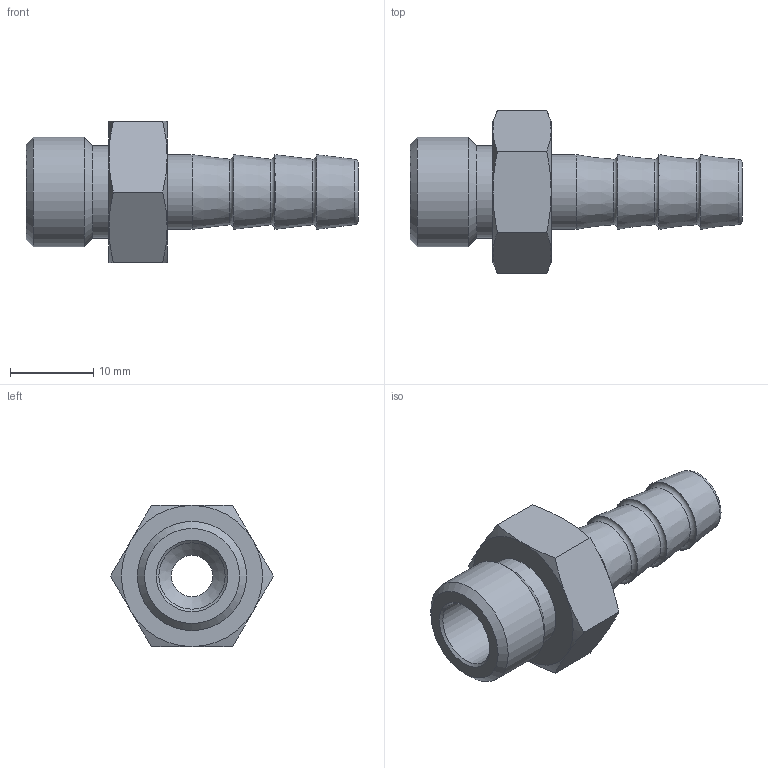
import cadquery as cq
import math

TOTAL_LENGTH = 40.0

THREAD_RADIUS = 13.157 / 2
THREAD_CHAMFER = 0.86
THREAD_END = 7.0
UNDERCUT_RADIUS = 5.55
UNDERCUT_START = THREAD_END + (THREAD_RADIUS - UNDERCUT_RADIUS)

HEX_START = 10.0
HEX_LENGTH = 7.0
HEX_END = HEX_START + HEX_LENGTH
HEX_ACROSS_FLATS = 17.0
HEX_ACROSS_CORNERS = HEX_ACROSS_FLATS / math.cos(math.radians(30))
HEX_CHAMFER_ANGLE = 22.0

TAIL_RADIUS = 4.5
BARB_COUNT = 4
BARB_PITCH = 5.0
BARB_START = TOTAL_LENGTH - BARB_COUNT * BARB_PITCH
BARB_TAPER_ANGLE = 7.0
ROOT_ROUND = 0.5
TIP_ROUND = 0.4

BORE_RADIUS = 2.5
COUNTERBORE_RADIUS = 4.0
COUNTERBORE_DEPTH = 10.0
COUNTERBORE_CHAMFER = 0.3
BORE_CONE_ANGLE = 90.0


def revolve_about_x(profile):
    """Close an XZ profile and revolve it a full turn about the X axis."""
    return profile.close().revolve(360, (0, 0, 0), (1, 0, 0))


def make_spigot():
    profile = (
        cq.Workplane("XZ")
        .lineTo(0, THREAD_RADIUS - THREAD_CHAMFER)
        .lineTo(THREAD_CHAMFER, THREAD_RADIUS)
        .lineTo(THREAD_END, THREAD_RADIUS)
        .lineTo(UNDERCUT_START, UNDERCUT_RADIUS)
        .lineTo(HEX_START, UNDERCUT_RADIUS)
        .lineTo(HEX_START, 0)
    )
    return revolve_about_x(profile)


def make_hexagon():
    """Hexagon with two corners on the Y axis, both ends turned to a cone."""
    hexagon = (
        cq.Workplane("YZ", origin=(HEX_START, 0, 0))
        .polygon(6, HEX_ACROSS_CORNERS)
        .extrude(HEX_LENGTH)
    )
    face_radius = HEX_ACROSS_FLATS / 2
    corner_radius = HEX_ACROSS_CORNERS / 2
    chamfer_length = (corner_radius - face_radius) * math.tan(math.radians(HEX_CHAMFER_ANGLE))
    turned_envelope = (
        cq.Workplane("XZ")
        .moveTo(HEX_START, 0)
        .lineTo(HEX_START, face_radius)
        .lineTo(HEX_START + chamfer_length, corner_radius)
        .lineTo(HEX_END - chamfer_length, corner_radius)
        .lineTo(HEX_END, face_radius)
        .lineTo(HEX_END, 0)
    )
    return hexagon.intersect(revolve_about_x(turned_envelope))


def make_hose_tail():
    """Plain neck, then barbs tapering to the free end with a concave round under each crest."""
    taper = math.tan(math.radians(BARB_TAPER_ANGLE))
    root_radius = TAIL_RADIUS - (BARB_PITCH - ROOT_ROUND) * taper
    tip_radius = TAIL_RADIUS - (BARB_PITCH - TIP_ROUND) * taper
    profile = (
        cq.Workplane("XZ")
        .moveTo(HEX_END, 0)
        .lineTo(HEX_END, TAIL_RADIUS)
        .lineTo(BARB_START, TAIL_RADIUS)
    )
    for barb in range(1, BARB_COUNT):
        crest = BARB_START + barb * BARB_PITCH
        profile = (
            profile.lineTo(crest - ROOT_ROUND, root_radius)
            .radiusArc((crest, TAIL_RADIUS), -ROOT_ROUND)
        )
    profile = (
        profile.lineTo(TOTAL_LENGTH - TIP_ROUND, tip_radius)
        .radiusArc((TOTAL_LENGTH, tip_radius - TIP_ROUND), TIP_ROUND)
        .lineTo(TOTAL_LENGTH, 0)
    )
    return revolve_about_x(profile)


def make_bore():
    """Through bore with a conical-bottomed counterbore from the threaded end."""
    cone_slope = math.tan(math.radians(BORE_CONE_ANGLE / 2))
    cone_length = (COUNTERBORE_RADIUS - BORE_RADIUS) / cone_slope
    profile = (
        cq.Workplane("XZ")
        .lineTo(0, COUNTERBORE_RADIUS + COUNTERBORE_CHAMFER)
        .lineTo(COUNTERBORE_CHAMFER, COUNTERBORE_RADIUS)
        .lineTo(COUNTERBORE_DEPTH, COUNTERBORE_RADIUS)
        .lineTo(COUNTERBORE_DEPTH + cone_length, BORE_RADIUS)
        .lineTo(TOTAL_LENGTH, BORE_RADIUS)
        .lineTo(TOTAL_LENGTH, 0)
    )
    return revolve_about_x(profile)


body = make_spigot().union(make_hexagon()).union(make_hose_tail())
result = body.cut(make_bore())